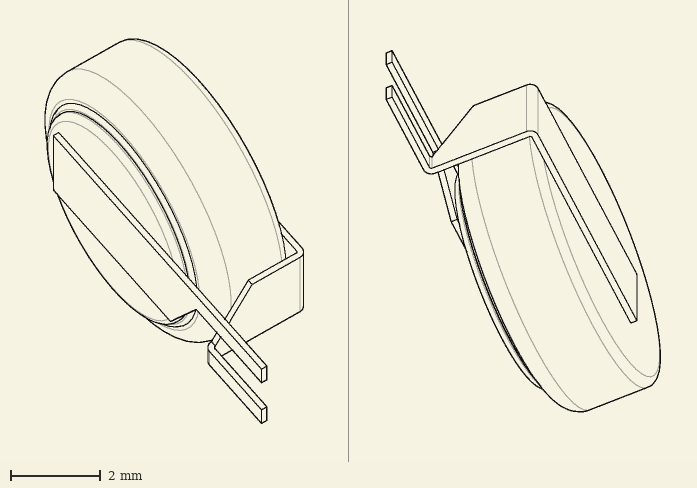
import cadquery as cq
import math


overall_length = 9.3

cell_radius = 3.399
cell_depth = 2.4
back_round = 0.195
shoulder_round = 0.5
shoulder_step = 0.3
gasket_radius = 2.8
gasket_step = 0.195
gasket_round = shoulder_step - gasket_step
cap_radius = 2.65
cap_round = 0.15

sheet = 0.15
tab_width = 2.0
lead_width = 0.5
lead_end = overall_length - cell_radius
tab_top = tab_width / 2
tab_bottom = -tab_width / 2

front_tab_start = -2.1
front_taper_start = 2.41
front_taper_end = 3.39

back_tab_start = -1.65
wall_outer = 3.85
bend_inner = 0.05
bend_outer = bend_inner + sheet
wall_taper_depth = 1.0
wall_taper_front = bend_inner


def arc_middle(center_x, center_y, radius, degrees):
    """Point on a circle, used as the middle point of an arc."""
    angle = math.radians(degrees)
    return center_x + radius * math.cos(angle), center_y + radius * math.sin(angle)


def make_cell():
    """Coin cell: can, raised gasket ring and cap, turned about the Y axis."""
    shoulder_radius = cell_radius - shoulder_round
    shoulder_back = shoulder_step + shoulder_round
    cap_face_radius = cap_radius - cap_round
    gasket_face_radius = gasket_radius - gasket_round
    back_start = cell_depth - back_round
    back_face_radius = cell_radius - back_round
    return (
        cq.Workplane("XY")
        .lineTo(cap_face_radius, 0)
        .threePointArc(arc_middle(cap_face_radius, cap_round, cap_round, -45), (cap_radius, cap_round))
        .lineTo(cap_radius, gasket_step)
        .lineTo(gasket_face_radius, gasket_step)
        .threePointArc(
            arc_middle(gasket_face_radius, shoulder_step, gasket_round, -45),
            (gasket_radius, shoulder_step),
        )
        .lineTo(shoulder_radius, shoulder_step)
        .threePointArc(
            arc_middle(shoulder_radius, shoulder_back, shoulder_round, -45),
            (cell_radius, shoulder_back),
        )
        .lineTo(cell_radius, back_start)
        .threePointArc(
            arc_middle(back_face_radius, back_start, back_round, 45),
            (back_face_radius, cell_depth),
        )
        .lineTo(0, cell_depth)
        .close()
        .revolve(360, (0, 0), (0, 1))
    )


def make_front_terminal():
    """Flat strip on the cap, tapering to a lead along its upper edge."""
    lead_bottom = tab_top - lead_width
    return (
        cq.Workplane("XZ")
        .moveTo(front_tab_start, tab_bottom)
        .lineTo(front_taper_start, tab_bottom)
        .lineTo(front_taper_end, lead_bottom)
        .lineTo(lead_end, lead_bottom)
        .lineTo(lead_end, tab_top)
        .lineTo(front_tab_start, tab_top)
        .close()
        .extrude(sheet)
    )


def make_back_terminal():
    """Strip on the back of the can, bent forward past the rim and then outward as a lead."""
    wall_inner = wall_outer - sheet
    back_outer = cell_depth + sheet
    strip = (
        cq.Workplane("XY", origin=(0, 0, tab_bottom))
        .moveTo(back_tab_start, cell_depth)
        .lineTo(wall_inner, cell_depth)
        .lineTo(wall_inner, -sheet)
        .lineTo(lead_end, -sheet)
        .lineTo(lead_end, 0)
        .lineTo(wall_outer, 0)
        .lineTo(wall_outer, back_outer)
        .lineTo(back_tab_start, back_outer)
        .close()
        .extrude(tab_width)
    )
    bends = [
        (wall_inner, cell_depth, bend_inner),
        (wall_outer, back_outer, bend_outer),
        (wall_outer, 0, bend_inner),
        (wall_inner, -sheet, bend_outer),
    ]
    for x, y, radius in bends:
        corner = cq.selectors.NearestToPointSelector((x, y, 0))
        strip = strip.edges("|Z").edges(corner).fillet(radius)

    lead_top = tab_bottom + lead_width
    waste = (
        cq.Workplane("YZ", origin=(wall_inner, 0, 0))
        .moveTo(wall_taper_front + wall_taper_depth, tab_top)
        .lineTo(wall_taper_front, lead_top)
        .lineTo(-sheet, lead_top)
        .lineTo(-sheet, tab_top)
        .close()
        .extrude(lead_end - wall_inner)
    )
    return strip.cut(waste)


cell = make_cell()
front_terminal = make_front_terminal()
back_terminal = make_back_terminal()

result = cq.Compound.makeCompound([cell.val(), front_terminal.val(), back_terminal.val()])